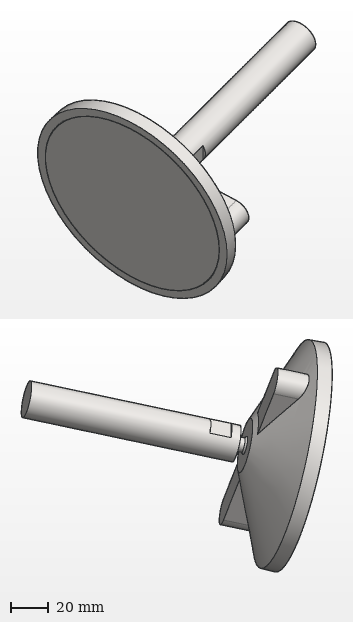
import cadquery as cq

total_length = 150.0

foot_diameter = 124.0
rim_top_diameter = 123.5
rim_height = 8.1
cone_top_diameter = 29.4
foot_height = 30.0

pad_diameter = 113.5
groove_outer_diameter = 114.0
groove_depth = 1.5

bar_length = 111.5
bar_width = 16.5
bar_top = 28.0

ball_diameter = 12.5
ball_center = 26.2
neck_diameter = 7.8
stem_diameter = 20.0
stem_start = 35.0

flats_start = 40.0
flats_length = 11.5
across_flats = 16.6


def plane_at(y):
    """Workplane normal to Y at the given height along the part's axis."""
    return cq.Workplane("XZ", origin=(0, y, 0))


def cylinder(diameter, start, end):
    """Cylinder along Y between two heights; the XZ plane normal is -Y, so the length is negated."""
    return plane_at(start).circle(diameter / 2).extrude(start - end)


def make_foot():
    profile = (
        cq.Workplane("XY")
        .moveTo(0, 0)
        .lineTo(foot_diameter / 2, 0)
        .lineTo(rim_top_diameter / 2, rim_height)
        .lineTo(cone_top_diameter / 2, foot_height)
        .lineTo(0, foot_height)
        .close()
    )
    foot = profile.revolve(360, (0, 0, 0), (0, 1, 0))
    groove = cylinder(groove_outer_diameter, 0, groove_depth).cut(
        cylinder(pad_diameter, 0, groove_depth)
    )
    return foot.cut(groove)


def make_bar():
    return plane_at(rim_height).slot2D(bar_length, bar_width).extrude(rim_height - bar_top)


def make_ball_joint():
    ball = cq.Workplane("XY").sphere(ball_diameter / 2).translate((0, ball_center, 0))
    return ball.union(cylinder(neck_diameter, ball_center, stem_start))


def make_stem():
    stem = cylinder(stem_diameter, stem_start, total_length)
    flats_center = flats_start + flats_length / 2
    for side in (-1, 1):
        cutter_center = side * (across_flats + stem_diameter) / 2
        cutter = cq.Workplane("XY").box(stem_diameter, flats_length, stem_diameter)
        stem = stem.cut(cutter.translate((cutter_center, flats_center, 0)))
    return stem


result = make_foot().union(make_bar()).union(make_ball_joint()).union(make_stem())